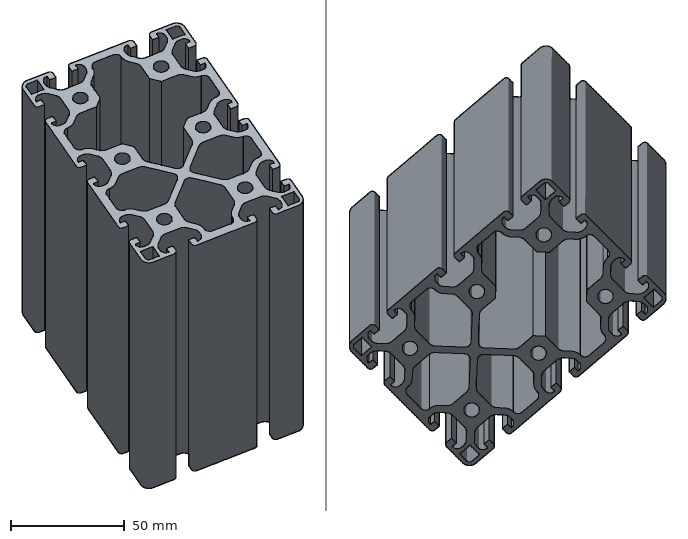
import cadquery as cq
import math

length = 150.0
width = 120.0
columns = 3
rows = 2
pitch = width / columns
half_pitch = pitch / 2
depth = rows * pitch
outer_corner_radius = 4.0

core_half = 7.8
core_chamfer = 3.9
bore_diameter = 6.8

mouth_half = 3.9
hook_half = 7.0
cavity_half = 10.0
floor_half = 5.2
skin = 2.0
lip_depth = 4.4
slot_depth = half_pitch - core_half
shoulder_depth = slot_depth - (cavity_half - floor_half)
lip_radius = 1.6
slot_top_radius = 2.7
shoulder_radius = 3.8
floor_radius = 4.0
mouth_overcut = 1.5

corner_box_side = 6.2
corner_box_radius = 1.5

face_wall = 4.2
rib_thickness = 3.2
chamber_half = slot_depth
chamber_face = pitch - face_wall
neck_half = 7.0
face_radius = 2.7
neck_radius = 6.0
core_radius = 4.0
crotch_radius = 2.7
crotch = rib_thickness / math.sqrt(2)
core_near = chamber_half + crotch
core_far = pitch - core_near
neck_end = core_far + chamber_half - neck_half

column_xs = [(i - (columns - 1) / 2) * pitch for i in range(columns)]
row_ys = [(j - (rows - 1) / 2) * pitch for j in range(rows)]
left_x, right_x = column_xs[0], column_xs[-1]
bottom_y, top_y = row_ys[0], row_ys[-1]


def mirrored(half_corners):
    """Append the half outline mirrored across the Y axis, in continuing order."""
    return half_corners + [(-x, y, radius) for x, y, radius in reversed(half_corners)]


def turned(corners, quarter_turns):
    """Turn corners counter-clockwise about the origin by whole quarter turns."""
    for _ in range(quarter_turns):
        corners = [(-y, x, radius) for x, y, radius in corners]
    return corners


def corner_arc(before, corner, after, radius):
    """Start, middle and end of the arc that rounds a corner between two neighbours."""
    back = (before - corner).normalized()
    ahead = (after - corner).normalized()
    half_angle = back.getAngle(ahead) / 2
    setback = radius / math.tan(half_angle)
    bulge = radius / math.sin(half_angle) - radius
    middle = corner + (back + ahead).normalized() * bulge
    return corner + back * setback, middle, corner + ahead * setback


def rounded_prism(corners):
    """Full-length prism over (x, y, radius) corners; a zero radius leaves a sharp corner."""
    points = [cq.Vector(x, y) for x, y, _ in corners]
    outline = cq.Workplane("XY")
    for i, (_, _, radius) in enumerate(corners):
        following = points[(i + 1) % len(points)]
        start, middle, end = corner_arc(points[i - 1], points[i], following, radius)
        outline = outline.moveTo(start.x, start.y) if i == 0 else outline.lineTo(start.x, start.y)
        if radius > 0:
            outline = outline.threePointArc((middle.x, middle.y), (end.x, end.y))
    return outline.close().extrude(length)


def t_slot(quarter_turns):
    """T-slot cutter about a module centre; it opens toward +Y before turning."""
    flare_half = mouth_half + 2 * lip_radius
    right_half = [
        (flare_half, half_pitch + mouth_overcut, 0),
        (flare_half, half_pitch, 0),
        (mouth_half, half_pitch, lip_radius),
        (mouth_half, half_pitch - lip_depth, 0),
        (hook_half, half_pitch - lip_depth, 0),
        (hook_half, half_pitch - skin, 0),
        (cavity_half, half_pitch - skin, slot_top_radius),
        (cavity_half, half_pitch - shoulder_depth, shoulder_radius),
        (floor_half, half_pitch - slot_depth, floor_radius),
    ]
    return rounded_prism(turned(mirrored(right_half), quarter_turns))


def corner_box(quarter_turns):
    """Square cutter about its own centre, rounded only toward the outer corner."""
    half = corner_box_side / 2
    square = [
        (half, half, corner_box_radius),
        (-half, half, 0),
        (-half, -half, 0),
        (half, -half, 0),
    ]
    return rounded_prism(turned(square, quarter_turns))


arm_left_edge = [
    (-neck_half, chamber_face, face_radius),
    (-neck_half, neck_end, neck_radius),
    (-chamber_half, core_far, core_radius),
]


def ribbed_chamber(quarter_turns):
    """Chamber between one outer wall and two crossing ribs; on +Y before turning."""
    left_half = arm_left_edge + [(-chamber_half, core_near, core_radius)]
    right_half = [(-x, y, radius) for x, y, radius in reversed(left_half)]
    return rounded_prism(turned(left_half + [(0, crotch, crotch_radius)] + right_half, quarter_turns))


def open_chamber():
    """Chamber joining the +Y, -X and -Y arms, closed on +X by the crossing ribs."""
    core_corner = [
        (-chamber_half, chamber_half + core_chamfer, 0),
        (-chamber_half - core_chamfer, chamber_half, 0),
    ]
    nose = [
        (pitch - core_near, -chamber_half, core_radius),
        (pitch - crotch, 0, crotch_radius),
        (pitch - core_near, chamber_half, core_radius),
    ]
    right_edge = [(-x, y, radius) for x, y, radius in reversed(arm_left_edge)]
    arm = right_edge + arm_left_edge
    corners = []
    for quarter_turns in range(3):
        corners += turned(arm + core_corner, quarter_turns)
    return rounded_prism(corners + nose + turned(core_corner, 3))


result = cq.Workplane("XY").rect(width, depth).extrude(length)
result = result.edges("|Z").fillet(outer_corner_radius)

for x in column_xs:
    result = result.cut(t_slot(0).translate((x, top_y, 0)))
    result = result.cut(t_slot(2).translate((x, bottom_y, 0)))
for y in row_ys:
    result = result.cut(t_slot(1).translate((left_x, y, 0)))
    result = result.cut(t_slot(3).translate((right_x, y, 0)))

box_x = width / 2 - skin - corner_box_side / 2
box_y = depth / 2 - skin - corner_box_side / 2
for quarter_turns, (side_x, side_y) in enumerate([(1, 1), (-1, 1), (-1, -1), (1, -1)]):
    result = result.cut(corner_box(quarter_turns).translate((side_x * box_x, side_y * box_y, 0)))

for quarter_turns in (0, 2, 3):
    result = result.cut(ribbed_chamber(quarter_turns).translate((half_pitch, 0, 0)))
result = result.cut(open_chamber().translate((-half_pitch, 0, 0)))

core_centres = [(x, y) for x in column_xs for y in row_ys]
bores = cq.Workplane("XY").pushPoints(core_centres).circle(bore_diameter / 2).extrude(length)
result = result.cut(bores)